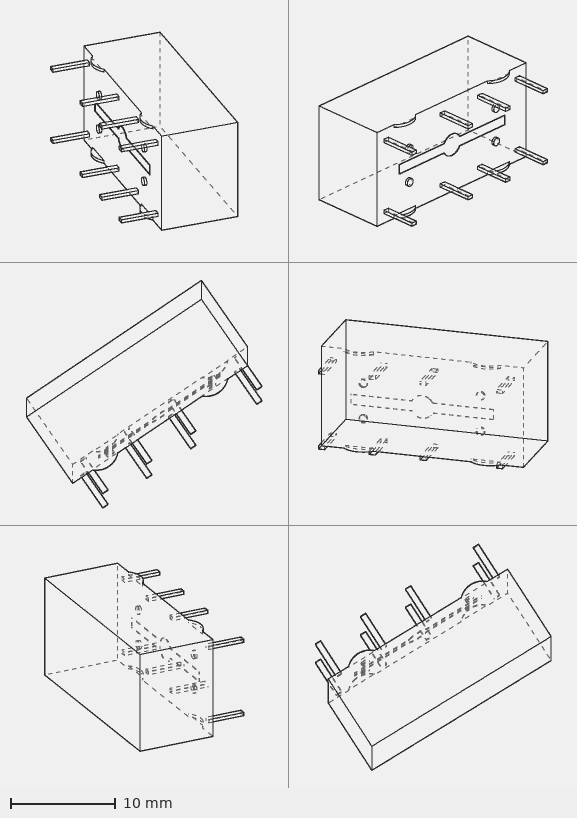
import cadquery as cq

case_length = 20.2
case_height = 10.1
case_depth = 7.8

pin_length = 3.75
pin_width = 0.6
pin_thickness = 0.35
pin_pitch = 5.07
last_pin_x = 8.89
pin_xs = [-last_pin_x, last_pin_x - 2 * pin_pitch, last_pin_x - pin_pitch, last_pin_x]
pin_row_z = 3.82

tab_x = 6.35
tab_chord = 2.95
tab_projection = 0.6
tab_thickness = 0.3

stud_diameter = 0.8
stud_projection = 0.25
stud_x = 5.85
stud_z = 1.8

bar_length = 14.26
bar_width = 1.0
disc_radius = 1.15
bar_projection = 0.06


def make_pin(x, z):
    pin = cq.Workplane("XY").box(pin_width, pin_length, pin_thickness)
    return pin.translate((x, -pin_length / 2, z))


def make_tab(x, bottom_z):
    return (
        cq.Workplane("XY", origin=(x, 0, bottom_z))
        .moveTo(-tab_chord / 2, 0)
        .threePointArc((0, -tab_projection), (tab_chord / 2, 0))
        .close()
        .extrude(tab_thickness)
    )


pin_face = cq.Workplane("XZ")

result = pin_face.rect(case_length, case_height).extrude(-case_depth)

for z in (-pin_row_z, pin_row_z):
    for x in pin_xs:
        result = result.union(make_pin(x, z))

for x in (-tab_x, tab_x):
    for bottom_z in (-case_height / 2, case_height / 2 - tab_thickness):
        result = result.union(make_tab(x, bottom_z))

studs = (
    pin_face.rect(2 * stud_x, 2 * stud_z, forConstruction=True)
    .vertices()
    .circle(stud_diameter / 2)
    .extrude(stud_projection)
)
bar = pin_face.rect(bar_length, bar_width).extrude(bar_projection)
disc = pin_face.circle(disc_radius).extrude(bar_projection)
result = result.union(studs).union(bar.union(disc))